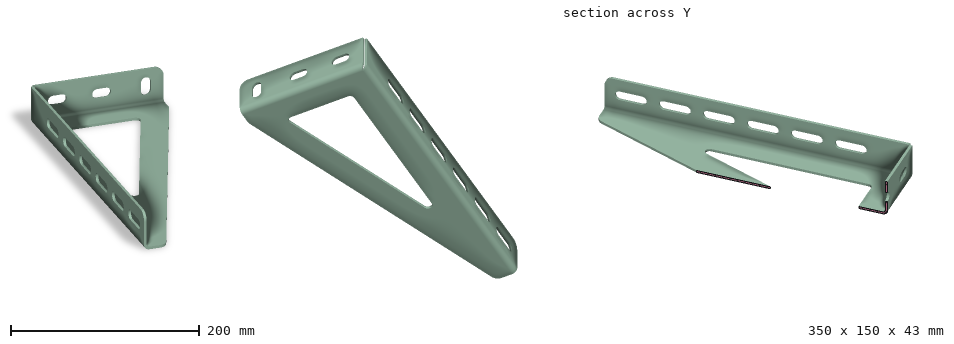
import cadquery as cq
import math

length = 350.0
width = 150.0
height = 43.0
sheet = 3.0
bend_inner = 3.0
bend_outer = bend_inner + sheet

corner_gap = 0.1
flange_start = sheet + corner_gap

slope_start_x = 20.0
slope_end_y = 25.0
corner_radius = 10.0

rim_width = 30.0
window_edge = sheet + rim_width
window_radius = 5.0

slot_width = 11.0
slot_drop = 20.0
slot_z = height - slot_drop
long_slot_length = 36.0
long_slot_count = 6
long_slot_pitch = 50.0
long_slot_first_x = 70.0
short_slot_length = 21.0
level_slots_y = (30.0, 80.0)
upright_slot_y = 130.0


def base_plate():
    """Flat part of the base, inside the bends, with its rounded sloping edge."""
    outline = [
        (bend_outer, bend_outer),
        (length, bend_outer),
        (length, slope_end_y),
        (slope_start_x, width),
        (bend_outer, width),
    ]
    plate = cq.Workplane("XY").polyline(outline).close().extrude(sheet)
    for x, y in [(slope_start_x, width), (length, slope_end_y)]:
        corner = cq.selectors.NearestToPointSelector((x, y, sheet / 2))
        plate = plate.edges(corner).fillet(corner_radius)
    return plate


def base_window():
    """Triangular cutter whose long side runs parallel to the sloping edge."""
    slope = (width - slope_end_y) / (length - slope_start_x)
    rim_drop = rim_width * math.hypot(1, slope)
    long_side_y_at_origin = width + slope * slope_start_x - rim_drop
    top_y = long_side_y_at_origin - slope * window_edge
    tip_x = (long_side_y_at_origin - window_edge) / slope
    return (
        cq.Workplane("XY")
        .polyline([(window_edge, window_edge), (tip_x, window_edge), (window_edge, top_y)])
        .close()
        .extrude(sheet)
        .edges("|Z")
        .fillet(window_radius)
    )


def bend_tear():
    """Cutter whose edge turns with the bend, from the flange end down to the plate corner."""
    reach = 2 * bend_outer
    return (
        cq.Workplane("YZ", origin=(flange_start, bend_outer, bend_outer))
        .polyline([(0, 0), (-reach, 0), (-reach, -reach), (0, -reach)])
        .close()
        .twistExtrude(bend_outer - flange_start, 90)
    )


def flange_along_x(flange_end):
    """Upright flange and its quarter bend, which tapers to the plate at the open corner."""
    flange_length = flange_end - flange_start
    wall = (
        cq.Workplane("XY", origin=(flange_start, 0, bend_outer))
        .box(flange_length, sheet, height - bend_outer, centered=False)
        .edges("|Y and >X and >Z")
        .fillet(corner_radius)
    )
    bend_tube = (
        cq.Workplane("YZ", origin=(flange_start, bend_outer, bend_outer))
        .circle(bend_outer)
        .circle(bend_inner)
        .extrude(flange_length)
    )
    bend_quarter = cq.Workplane("XY").box(flange_end, bend_outer, bend_outer, centered=False)
    bend = bend_tube.intersect(bend_quarter).cut(bend_tear())
    return wall.union(bend)


def flange_along_y(flange_end):
    """The same flange laid along Y, mirrored across the corner diagonal."""
    return flange_along_x(flange_end).rotate((0, 0, 0), (0, 0, 1), 90).mirror("YZ")


def front_slots():
    """Row of long slots through the flange along X."""
    centers = [
        (long_slot_first_x + i * long_slot_pitch, slot_z) for i in range(long_slot_count)
    ]
    return (
        cq.Workplane("XZ")
        .pushPoints(centers)
        .slot2D(long_slot_length, slot_width)
        .extrude(-sheet)
    )


def side_slots():
    """Two level slots and one upright slot through the flange along Y."""
    level = (
        cq.Workplane("YZ")
        .pushPoints([(y, slot_z) for y in level_slots_y])
        .slot2D(short_slot_length, slot_width)
        .extrude(sheet)
    )
    upright = (
        cq.Workplane("YZ")
        .center(upright_slot_y, slot_z)
        .slot2D(short_slot_length, slot_width, 90)
        .extrude(sheet)
    )
    return level.union(upright)


base = base_plate().cut(base_window())
front_flange = flange_along_x(length).cut(front_slots())
side_flange = flange_along_y(width).cut(side_slots())
result = base.union(front_flange).union(side_flange)